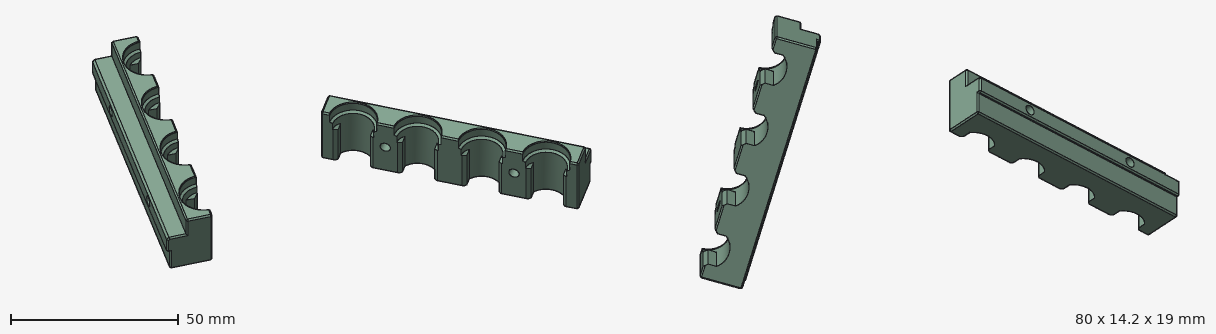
import cadquery as cq
import math

LENGTH = 80.0
DEPTH = 14.2
HEIGHT = 19.0
WALL_THICKNESS = 8.2
LEDGE_TOP = 13.0
LEDGE_BOTTOM = 7.2
LEDGE_OVERHANG = 1.0
EDGE_CHAMFER = 0.5
LEDGE_CHAMFER = 0.7

SCREW_DIAMETER = 3.2
SCREW_SPACING = LENGTH / 2
SCREW_HEIGHT = 10.0

SEAT_COUNT = 4
SEAT_PITCH = LENGTH / SEAT_COUNT
SEAT_OFFSET = 0.2
SEAT_RADIUS = 7.3
SEAT_DEPTH = 3.2
RIM_WIDTH = 0.2
RIM_HEIGHT = 0.4
THROAT_RADIUS = 6.4
THROAT_DEPTH = 2.3
MOUTH_WIDTH = 10.0
LIP_CHAMFER = 1.2
SLOPE = math.tan(math.radians(30))


def make_bar():
    """Stepped bar with all its outer edges chamfered."""
    front = -DEPTH
    lower_front = front + LEDGE_OVERHANG
    profile = [
        (0, 0),
        (lower_front, 0),
        (lower_front, LEDGE_BOTTOM),
        (front, LEDGE_BOTTOM),
        (front, LEDGE_TOP),
        (-WALL_THICKNESS, LEDGE_TOP),
        (-WALL_THICKNESS, HEIGHT),
        (0, HEIGHT),
    ]
    bar = cq.Workplane("YZ").polyline(profile).close().extrude(LENGTH / 2, both=True)
    bar = bar.faces("<Y").edges("|X and >Z").chamfer(LEDGE_CHAMFER)
    bar = bar.faces("<Y").edges("|X and <Z").chamfer(EDGE_CHAMFER)
    bar = bar.faces("<Z or >Z").edges("|X").chamfer(EDGE_CHAMFER)
    return bar.faces("<X or >X").edges().chamfer(EDGE_CHAMFER)


def make_screw_holes():
    return (
        cq.Workplane("XZ")
        .pushPoints([(side * SCREW_SPACING / 2, SCREW_HEIGHT) for side in (-1, 1)])
        .circle(SCREW_DIAMETER / 2)
        .extrude(DEPTH)
    )


def make_seat():
    """Cutter for one seat that opens through the back face at X = 0."""
    rim_radius = SEAT_RADIUS + RIM_WIDTH
    half_mouth = MOUTH_WIDTH / 2
    taper_top = HEIGHT - SEAT_DEPTH
    taper_bottom = taper_top - (SEAT_RADIUS - THROAT_RADIUS) * SLOPE
    lip_top = taper_bottom - THROAT_DEPTH
    lip_bottom = lip_top - (THROAT_RADIUS - half_mouth) * SLOPE

    bore_half_section = [
        (0, 0),
        (THROAT_RADIUS, 0),
        (THROAT_RADIUS, taper_bottom),
        (SEAT_RADIUS, taper_top),
        (SEAT_RADIUS, HEIGHT - RIM_HEIGHT),
        (rim_radius, HEIGHT),
        (0, HEIGHT),
    ]
    bores = cq.Workplane("XZ").polyline(bore_half_section).close().revolve(360, (0, 0), (0, 1))

    right_side = [
        (half_mouth, 0),
        (half_mouth, lip_bottom),
        (THROAT_RADIUS, lip_top),
        (rim_radius, lip_top),
        (rim_radius, HEIGHT),
    ]
    left_side = [(-x, z) for x, z in reversed(right_side)]
    opening = cq.Workplane("XZ").polyline(right_side + left_side).close().extrude(rim_radius, both=True)

    half_flare = half_mouth + LIP_CHAMFER
    wedge = [(-half_flare, 0), (half_flare, 0), (0, -half_flare)]
    flare = cq.Workplane("XY").polyline(wedge).close().extrude(lip_top)

    return bores.intersect(opening).translate((0, SEAT_OFFSET, 0)).union(flare)


seat = make_seat()
result = make_bar().cut(make_screw_holes())
for index in range(SEAT_COUNT):
    seat_x = (index - (SEAT_COUNT - 1) / 2) * SEAT_PITCH
    result = result.cut(seat.translate((seat_x, 0, 0)))